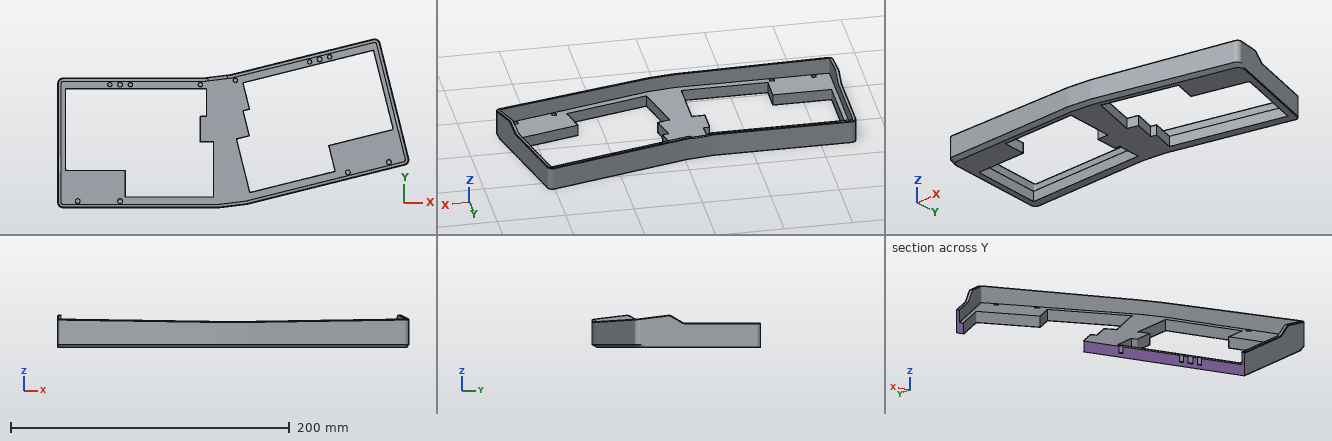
import math

import cadquery as cq

BEND_ANGLE = 14.0
LEFT_LENGTH = 126.0
RIGHT_LENGTH = 130.74
DEPTH = 93.17
CORNER_RADIUS = 4.0
CHORD_SETBACK = 10.0
CHORD_BLEND_RADIUS = 20.0
REAR_INNER_BLEND_RADIUS = 10.0
WALL = 2.5

FLOOR_HEIGHT = 8.4
REAR_HEIGHT = 17.55
EDGE_CHAMFER = 0.5
PEAK_HEIGHT = 23.25
TALL = 2 * PEAK_HEIGHT
FRONT_BEVEL_HEIGHT = 2.3
FRONT_BEVEL_DEPTH = 4.0
BEVEL_CORNER_RADIUS = 6.0

FRONT_SLOPE_ANGLE = 7.0
RAMP_ANGLE = 30.0
RAMP_TOE = 51.1
RAMP_BLEND_RADIUS = 4.0

WINDOW_FRONT = 7.8
WINDOW_REAR = 85.3
PAD_REAR = 26.85
STEP_FRONT = 47.3
STEP_REAR = 65.8
LEFT_WINDOW_END = 5.7
LEFT_PAD_END = 48.6
LEFT_INNER_EDGES = (111.8, 102.2, 106.8)
RIGHT_WINDOW_END = 5.8
RIGHT_PAD_END = 53.5
RIGHT_INNER_EDGES = (116.5, 107.0, 102.2)
WINDOW_CORNER_RADIUS = 1.0

LARGE_HOLE = 3.5
SMALL_HOLE = 3.1
HOLE_DEPTH = 5.0
FRONT_HOLE_ROW = 4.8
REAR_HOLE_ROW = 88.4
OUTER_HOLE = 14.4
MIDDLE_HOLE = 44.8
MIDDLE_HOLE_PITCH = 7.4
BEND_HOLE = 23.6

NOTCH_WIDTH = 14.6
NOTCH_DEPTH = 1.0
NOTCH_CORNER_RADIUS = 2.0
NOTCH_OFFSET = 0.3

UPWARD_LIMIT = 0.1
HALF_BEND = math.radians(BEND_ANGLE / 2)


def left_wing(along, across):
    """Plan point of the left wing."""
    return (along, across)


def right_wing(along, across):
    """Plan point of the right wing."""
    turn = math.radians(BEND_ANGLE)
    reach = RIGHT_LENGTH - along
    x = LEFT_LENGTH + reach * math.cos(turn) - across * math.sin(turn)
    y = reach * math.sin(turn) + across * math.cos(turn)
    return (x, y)


def between(start, end, distance):
    """Point at a distance from start toward end."""
    span = math.dist(start, end)
    return tuple(a + (b - a) * distance / span for a, b in zip(start, end))


def rounded_outline(corners, radii, height=0.0):
    """Closed workplane outline through the corners, each rounded to its radius (0 is sharp)."""
    stretches = []
    for i, (corner, radius) in enumerate(zip(corners, radii)):
        before = corners[i - 1]
        after = corners[(i + 1) % len(corners)]
        if radius == 0:
            stretches.append([corner])
            continue
        to_before = between(corner, before, 1)
        to_after = between(corner, after, 1)
        half_chord = math.dist(to_before, to_after) / 2
        half_corner = math.asin(half_chord)
        tangent = radius / math.tan(half_corner)
        middle_of_turn = tuple((a + b) / 2 for a, b in zip(to_before, to_after))
        crown = between(corner, middle_of_turn, radius / math.sin(half_corner) - radius)
        stretches.append([between(corner, before, tangent), crown, between(corner, after, tangent)])

    outline = cq.Workplane("XY", origin=(0, 0, height)).moveTo(*stretches[0][-1])
    for stretch in stretches[1:]:
        outline = outline.lineTo(*stretch[0])
        if len(stretch) > 1:
            outline = outline.threePointArc(stretch[1], stretch[2])
    if len(stretches[0]) > 1:
        outline = outline.lineTo(*stretches[0][0]).threePointArc(stretches[0][1], stretches[0][2])
        return outline.wire()
    return outline.close()


def case_outline(
    height=0.0, front_inset=0.0, front_radius=CORNER_RADIUS, rear_blend=CHORD_BLEND_RADIUS
):
    """Plan outline of the case, with its front edges moved back by front_inset."""
    front_chord = CHORD_SETBACK + front_inset * math.tan(HALF_BEND)
    rear_chord = CHORD_SETBACK + DEPTH * math.tan(HALF_BEND)
    corners = [
        left_wing(0, front_inset),
        left_wing(LEFT_LENGTH - front_chord, front_inset),
        right_wing(RIGHT_LENGTH - front_chord, front_inset),
        right_wing(0, front_inset),
        right_wing(0, DEPTH),
        right_wing(RIGHT_LENGTH - rear_chord, DEPTH),
        left_wing(LEFT_LENGTH - rear_chord, DEPTH),
        left_wing(0, DEPTH),
    ]
    front_radii = [front_radius, CHORD_BLEND_RADIUS, CHORD_BLEND_RADIUS, front_radius]
    rear_radii = [CORNER_RADIUS, rear_blend, rear_blend, CORNER_RADIUS]
    return rounded_outline(corners, front_radii + rear_radii, height)


def turned_to_bisector(shape):
    """Carry a shape built about the Y axis at the origin to the pivot and the bisector."""
    turned = shape.rotate((0, 0, 0), (0, 0, 1), BEND_ANGLE / 2)
    return turned.translate((LEFT_LENGTH, 0, 0))


def waste_above_walls():
    """Material above the wall top, which slopes up to a peak, drops by a ramp and runs level."""
    slope = math.tan(math.radians(FRONT_SLOPE_ANGLE))
    ramp = math.tan(math.radians(RAMP_ANGLE))
    turn = math.radians(FRONT_SLOPE_ANGLE + RAMP_ANGLE)
    tangent = RAMP_BLEND_RADIUS * math.tan(turn / 2)
    tilt = math.radians(FRONT_SLOPE_ANGLE)
    crest_height = PEAK_HEIGHT + tangent * math.sin(tilt) - RAMP_BLEND_RADIUS * (1 - math.cos(tilt))
    crest = RAMP_TOE - (crest_height - REAR_HEIGHT) / ramp
    front = -DEPTH
    rear = 2 * DEPTH
    width = LEFT_LENGTH + RIGHT_LENGTH
    profile = [
        (front, crest_height - slope * (crest - front)),
        (crest, crest_height),
        (RAMP_TOE, REAR_HEIGHT),
        (rear, REAR_HEIGHT),
        (rear, TALL),
        (front, TALL),
    ]
    waste = cq.Workplane("YZ", origin=(-width, 0, 0)).polyline(profile).close().extrude(2 * width)
    for along, height in ((crest, crest_height), (RAMP_TOE, REAR_HEIGHT)):
        bend = cq.selectors.NearestToPointSelector((0, along, height))
        waste = waste.edges(bend).fillet(RAMP_BLEND_RADIUS)
    return turned_to_bisector(waste)


def top_rim(body):
    """Edges around the top of the body, without the seams between its top faces."""
    top_faces = [face for face in body.faces().vals() if face.normalAt().z > UPWARD_LIMIT]
    edges = [edge for face in top_faces for edge in face.Edges()]
    return [edge for edge in edges if sum(edge.isSame(other) for other in edges) == 1]


def chamfered_block():
    """Upright block inside the outer walls, trimmed on top and chamfered around both rims."""
    block = case_outline().extrude(PEAK_HEIGHT).cut(waste_above_walls())
    rims = block.faces("<Z").edges().vals() + top_rim(block)
    return block.newObject(rims).chamfer(EDGE_CHAMFER)


def bevelled_envelope():
    """Case outline whose front edges lean back below the bevel height."""
    underside = case_outline(0, FRONT_BEVEL_DEPTH, BEVEL_CORNER_RADIUS).val()
    bevel_top = case_outline(FRONT_BEVEL_HEIGHT).val()
    base = cq.Workplane(cq.Solid.makeLoft([underside, bevel_top], True))
    return base.union(case_outline(FRONT_BEVEL_HEIGHT).extrude(PEAK_HEIGHT))


def hollow():
    """Space inside the walls, above the floor."""
    outline = case_outline(FLOOR_HEIGHT, rear_blend=REAR_INNER_BLEND_RADIUS - WALL)
    return outline.offset2D(-WALL).extrude(TALL)


def rear_notch():
    """Shallow notch across the rear chord, its bottom parallel to the front slope."""
    chord = DEPTH / math.cos(HALF_BEND) + CHORD_SETBACK * math.sin(HALF_BEND)
    wall_middle = chord - WALL / 2
    across_wall = 4 * WALL
    notch = cq.Workplane("XY").box(NOTCH_WIDTH, across_wall, TALL, centered=(True, True, False))
    notch = notch.edges("|Y and <Z").fillet(NOTCH_CORNER_RADIUS)
    notch = notch.rotate((0, 0, 0), (1, 0, 0), FRONT_SLOPE_ANGLE)
    return turned_to_bisector(notch.translate((NOTCH_OFFSET, wall_middle, REAR_HEIGHT - NOTCH_DEPTH)))


def window(wing, outer_end, pad_end, inner_edges, step_radius):
    """Stepped opening through the floor of one wing."""
    front_edge, middle_edge, rear_edge = inner_edges
    corners = [
        wing(pad_end, WINDOW_FRONT),
        wing(front_edge, WINDOW_FRONT),
        wing(front_edge, STEP_FRONT),
        wing(middle_edge, STEP_FRONT),
        wing(middle_edge, STEP_REAR),
        wing(rear_edge, STEP_REAR),
        wing(rear_edge, WINDOW_REAR),
        wing(outer_end, WINDOW_REAR),
        wing(outer_end, PAD_REAR),
        wing(pad_end, PAD_REAR),
    ]
    radii = [0, 0, 0, 0, step_radius, 0, 0, 0, WINDOW_CORNER_RADIUS, 0]
    return rounded_outline(corners, radii).extrude(TALL)


def floor_holes(wing, length):
    """Blind holes along the front and rear of one wing."""
    large = [
        wing(OUTER_HOLE, FRONT_HOLE_ROW),
        wing(MIDDLE_HOLE, FRONT_HOLE_ROW),
        wing(MIDDLE_HOLE, REAR_HOLE_ROW),
    ]
    small = [
        wing(MIDDLE_HOLE - MIDDLE_HOLE_PITCH, REAR_HOLE_ROW),
        wing(MIDDLE_HOLE + MIDDLE_HOLE_PITCH, REAR_HOLE_ROW),
        wing(length - BEND_HOLE, REAR_HOLE_ROW),
    ]
    bottom = cq.Workplane("XY", origin=(0, 0, FLOOR_HEIGHT - HOLE_DEPTH))
    drills = bottom.pushPoints(large).circle(LARGE_HOLE / 2).extrude(HOLE_DEPTH)
    return drills.union(bottom.pushPoints(small).circle(SMALL_HOLE / 2).extrude(HOLE_DEPTH))


case = chamfered_block().intersect(bevelled_envelope())
case = case.cut(hollow()).cut(rear_notch())
case = case.cut(
    window(left_wing, LEFT_WINDOW_END, LEFT_PAD_END, LEFT_INNER_EDGES, WINDOW_CORNER_RADIUS)
)
case = case.cut(window(right_wing, RIGHT_WINDOW_END, RIGHT_PAD_END, RIGHT_INNER_EDGES, 0))
case = case.cut(floor_holes(left_wing, LEFT_LENGTH))
result = case.cut(floor_holes(right_wing, RIGHT_LENGTH))